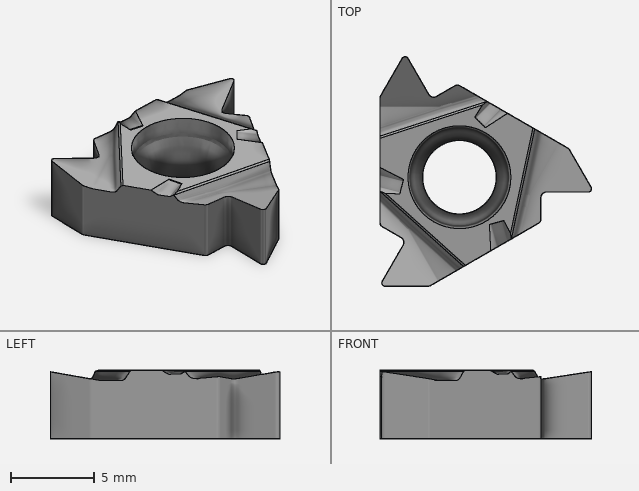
import cadquery as cq
import math


thickness = 4.12
tooth_count = 3
tooth_pitch = 360.0 / tooth_count

side_normal, side_distance = 180.0, 4.76
left_flank_normal, left_flank_distance = 150.0, 6.53
right_flank_normal, right_flank_distance = 30.0, 0.9
shoulder_normal, shoulder_distance = 120.0, 4.88

side_radius = 0.28
tip_radius = 0.2
valley_radius = 0.33
shoulder_radius = 0.28

bore_radius = 2.2
mouth_radius = 3.08
seat_top_radius = 2.95
seat_top_z = 3.0
seat_bottom_z = 0.55
seat_blend_radius = 0.5

groove_angle = 18.0
groove_distance = 3.68
groove_floor_z = 3.49
groove_bevel_width = 0.12
groove_bevel_depth = 0.08
groove_wall_angle = 58.0
groove_blend_radius = 0.33
rake_angle = 10.0
rake_start = 4.21
rake_blend_radius = 0.35

notch_angle = 45.5
notch_offset = 1.42
notch_start = 3.2
notch_start_depth = 0.05
notch_slope = 8.0
notch_floor_width = 0.72
notch_wall_angle = 32.0
notch_blend_radius = 0.16

overrun = 0.69
groove_half_length = 6.88
groove_reach = 8.94
notch_length = 2.75


def crossing(normal_a, distance_a, normal_b, distance_b):
    """Point where two lines given by normal direction and distance from the origin cross."""
    a, b = math.radians(normal_a), math.radians(normal_b)
    determinant = math.sin(b - a)
    x = (distance_a * math.sin(b) - distance_b * math.sin(a)) / determinant
    y = (distance_b * math.cos(a) - distance_a * math.cos(b)) / determinant
    return x, y


def turned(point, angle):
    """Point rotated about the hole axis."""
    a = math.radians(angle)
    x, y = point
    return x * math.cos(a) - y * math.sin(a), x * math.sin(a) + y * math.cos(a)


def make_blank():
    """Plate with the rounded three-tooth outline."""
    side = (side_normal, side_distance)
    next_side = (side_normal - tooth_pitch, side_distance)
    left_flank = (left_flank_normal, left_flank_distance)
    right_flank = (right_flank_normal, right_flank_distance)
    shoulder = (shoulder_normal, shoulder_distance)
    tooth_corners = [
        (crossing(*side, *left_flank), side_radius),
        (crossing(*left_flank, *right_flank), tip_radius),
        (crossing(*right_flank, *shoulder), valley_radius),
        (crossing(*shoulder, *next_side), shoulder_radius),
    ]
    corners = [
        (turned(point, -tooth * tooth_pitch), radius)
        for tooth in range(tooth_count)
        for point, radius in tooth_corners
    ]
    blank = cq.Workplane("XY").polyline([point for point, _ in corners]).close().extrude(thickness)
    for (x, y), radius in corners:
        corner_edge = cq.NearestToPointSelector((x, y, thickness / 2))
        blank = blank.edges(corner_edge).fillet(radius)
    return blank


def make_screw_hole():
    """Tapered mouth, rounded screw seat and cylindrical bore."""
    rise = seat_top_z - seat_bottom_z
    widening = seat_top_radius - bore_radius
    seat_radius = (rise ** 2 + widening ** 2) / (2 * widening)
    half_sweep = math.asin(rise / seat_radius) / 2
    seat_middle = (
        bore_radius + seat_radius * (1 - math.cos(half_sweep)),
        seat_bottom_z + seat_radius * math.sin(half_sweep),
    )
    hole = (
        cq.Workplane("XZ")
        .moveTo(0, 0)
        .lineTo(bore_radius, 0)
        .lineTo(bore_radius, seat_bottom_z)
        .threePointArc(seat_middle, (seat_top_radius, seat_top_z))
        .lineTo(mouth_radius, thickness)
        .lineTo(0, thickness)
        .close()
        .revolve(360, (0, 0), (0, 1))
    )
    seat_rim = cq.NearestToPointSelector((0, 0, seat_top_z))
    return hole.edges(seat_rim).fillet(seat_blend_radius)


def make_groove():
    """Material above the chip groove and the rising rake face of the upper-left tooth."""
    bevel_z = thickness - groove_bevel_depth
    wall_top = groove_distance + groove_bevel_width
    wall_foot = wall_top + (bevel_z - groove_floor_z) / math.tan(math.radians(groove_wall_angle))
    above = thickness + overrun
    beyond_wall = (
        cq.Workplane("YZ")
        .polyline([
            (groove_distance, above),
            (groove_distance, thickness),
            (wall_top, bevel_z),
            (wall_foot, groove_floor_z),
            (groove_reach, groove_floor_z),
            (groove_reach, above),
        ])
        .close()
        .extrude(groove_half_length, both=True)
        .rotate((0, 0, 0), (0, 0, 1), groove_angle)
    )
    above_rake = (
        cq.Workplane("XY")
        .box(4 * groove_reach, 4 * groove_reach, groove_reach, centered=(True, True, False))
        .rotate((0, 0, 0), (1, 0, 0), rake_angle)
        .translate((0, rake_start, groove_floor_z))
    )
    groove = beyond_wall.intersect(above_rake)

    groove = groove.faces("<Z").edges(">Y").fillet(rake_blend_radius)
    return groove.faces("<Z").edges("<Y").fillet(groove_blend_radius)


def make_notch():
    """Flat-bottomed notch that deepens toward the side, laid along +X and then swung into place."""
    half_floor = notch_floor_width / 2
    half_top = half_floor + overrun / math.tan(math.radians(notch_wall_angle))
    notch = (
        cq.Workplane("YZ")
        .polyline([
            (-half_floor, 0),
            (half_floor, 0),
            (half_top, overrun),
            (-half_top, overrun),
        ])
        .close()
        .extrude(notch_length)
        .edges("|X and <Z")
        .fillet(notch_blend_radius)
    )
    return (
        notch.rotate((0, 0, 0), (0, 1, 0), notch_slope)
        .translate((notch_start, notch_offset, thickness - notch_start_depth))
        .rotate((0, 0, 0), (0, 0, 1), notch_angle)
    )


result = make_blank().cut(make_screw_hole())
groove = make_groove()
notch = make_notch()
for tooth in range(tooth_count):
    swing = -tooth * tooth_pitch
    for cutter in (groove, notch):
        result = result.cut(cutter.rotate((0, 0, 0), (0, 0, 1), swing))